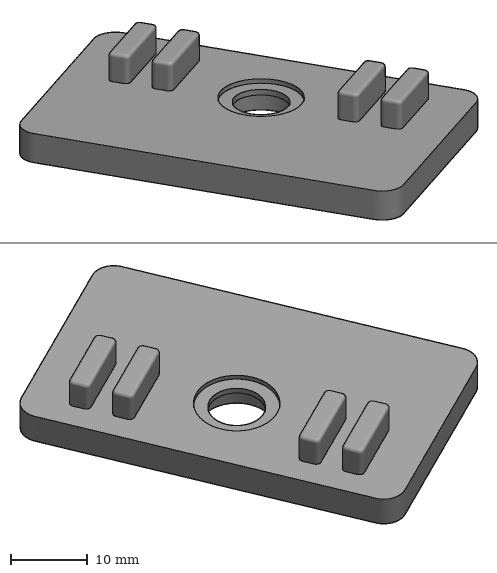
import cadquery as cq

plate_length = 53.4
plate_width = 32.4
plate_thickness = 4.2
plate_corner_radius = 3.0

hole_y = 4.5
bore_diameter = 7.55
top_counterbore_diameter = 11.25
top_counterbore_depth = 0.65
bottom_counterbore_diameter = 10.0
bottom_counterbore_depth = 2.8

overall_height = 8.2
rib_height = overall_height - plate_thickness
rib_width = 3.0
rib_length = 10.5
rib_y = 7.25
inner_rib_x = 13.0
outer_rib_x = 19.0
rib_corner_radius = 0.7
rib_top_radius = 0.5


def make_plate():
    """Flat plate with rounded vertical corners."""
    return (
        cq.Workplane("XY")
        .box(plate_length, plate_width, plate_thickness, centered=(True, True, False))
        .edges("|Z")
        .fillet(plate_corner_radius)
    )


def make_rib(x):
    """Upright rib on the plate's top face, rounded at its corners and top rim."""
    return (
        cq.Workplane("XY", origin=(x, rib_y, plate_thickness))
        .box(rib_width, rib_length, rib_height, centered=(True, True, False))
        .edges("|Z")
        .fillet(rib_corner_radius)
        .faces(">Z")
        .edges()
        .fillet(rib_top_radius)
    )


def make_disc(diameter, bottom_z, height):
    """Upright cylinder on the hole's axis."""
    return cq.Workplane("XY", origin=(0, hole_y, bottom_z)).circle(diameter / 2).extrude(height)


def cut_hole(body):
    """Through bore, a shallow counterbore in the top face and a deeper one in the underside."""
    top_counterbore_floor = plate_thickness - top_counterbore_depth
    return (
        body.cut(make_disc(bore_diameter, 0, plate_thickness))
        .cut(make_disc(top_counterbore_diameter, top_counterbore_floor, top_counterbore_depth))
        .cut(make_disc(bottom_counterbore_diameter, 0, bottom_counterbore_depth))
    )


result = cut_hole(make_plate())
for rib_x in (-outer_rib_x, -inner_rib_x, inner_rib_x, outer_rib_x):
    result = result.union(make_rib(rib_x))